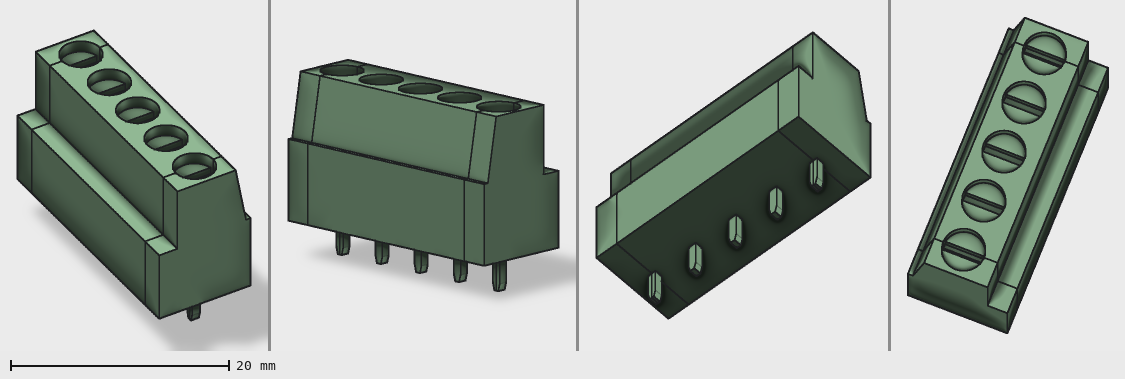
import cadquery as cq


POLE_COUNT = 5
PITCH = 5.0
LENGTH = POLE_COUNT * PITCH
POLE_XS = [(i - (POLE_COUNT - 1) / 2) * PITCH for i in range(POLE_COUNT)]

DEPTH = 9.8
HEIGHT = 13.8
BACK_Y = 4.5
FRONT_Y = BACK_Y - DEPTH
FRONT_LEDGE_DEPTH = 1.95
FRONT_LEDGE_HEIGHT = 7.25
BACK_LEDGE_DEPTH = 0.5
BACK_LEDGE_HEIGHT = 7.7
TOP_BACK_INSET = 1.6

WELL_DIAMETER = 4.0
SCREW_HEAD_DEPTH = 1.2
SLOT_WIDTH = 0.8
SLOT_DEPTH = 1.0

PIN_LENGTH = 3.5
PIN_WIDTH = 0.9
PIN_THICKNESS = 0.85
PIN_TIP_WIDTH = 0.5
PIN_TAPER_LENGTH = 0.75
PIN_Y = -0.1


def make_housing():
    """Stepped profile with a sloping upper back face, extruded along X."""
    upper_front_y = FRONT_Y + FRONT_LEDGE_DEPTH
    profile = [
        (FRONT_Y, 0),
        (BACK_Y, 0),
        (BACK_Y, BACK_LEDGE_HEIGHT),
        (BACK_Y - BACK_LEDGE_DEPTH, BACK_LEDGE_HEIGHT),
        (BACK_Y - TOP_BACK_INSET, HEIGHT),
        (upper_front_y, HEIGHT),
        (upper_front_y, FRONT_LEDGE_HEIGHT),
        (FRONT_Y, FRONT_LEDGE_HEIGHT),
    ]
    return cq.Workplane("YZ").polyline(profile).close().extrude(LENGTH / 2, both=True)


def make_well(x):
    """Cutter for a round well down to the screw head, plus the driver slot in the head."""
    top = cq.Workplane("XY", origin=(x, 0, HEIGHT))
    well = top.circle(WELL_DIAMETER / 2).extrude(-SCREW_HEAD_DEPTH)
    slot_bottom = SCREW_HEAD_DEPTH + SLOT_DEPTH
    slot = (
        top.rect(SLOT_WIDTH, WELL_DIAMETER).extrude(-slot_bottom)
        .intersect(top.circle(WELL_DIAMETER / 2).extrude(-slot_bottom))
    )
    return well.union(slot)


def make_pin(x):
    """Flat solder pin whose two X sides taper to the tip."""
    taper_start = PIN_TAPER_LENGTH - PIN_LENGTH
    outline = [
        (-PIN_WIDTH / 2, 0),
        (-PIN_WIDTH / 2, taper_start),
        (-PIN_TIP_WIDTH / 2, -PIN_LENGTH),
        (PIN_TIP_WIDTH / 2, -PIN_LENGTH),
        (PIN_WIDTH / 2, taper_start),
        (PIN_WIDTH / 2, 0),
    ]
    return (
        cq.Workplane("XZ", origin=(x, PIN_Y, 0))
        .polyline(outline).close().extrude(PIN_THICKNESS / 2, both=True)
    )


def cut_section(block, x_start, x_end):
    """Solid part of the block between two planes across X."""
    oversize = 2 * (DEPTH + HEIGHT + PIN_LENGTH)
    slab = (
        cq.Workplane("YZ", origin=(x_start, 0, 0))
        .rect(oversize, oversize).extrude(x_end - x_start)
    )
    return block.intersect(slab).solids()


block = make_housing()
for pole_x in POLE_XS:
    block = block.cut(make_well(pole_x)).union(make_pin(pole_x))

left_end = cut_section(block, -LENGTH / 2, POLE_XS[0])
middle = cut_section(block, POLE_XS[0], POLE_XS[-1])
right_end = cut_section(block, POLE_XS[-1], LENGTH / 2)

result = cq.Compound.makeCompound([left_end.val(), middle.val(), right_end.val()])